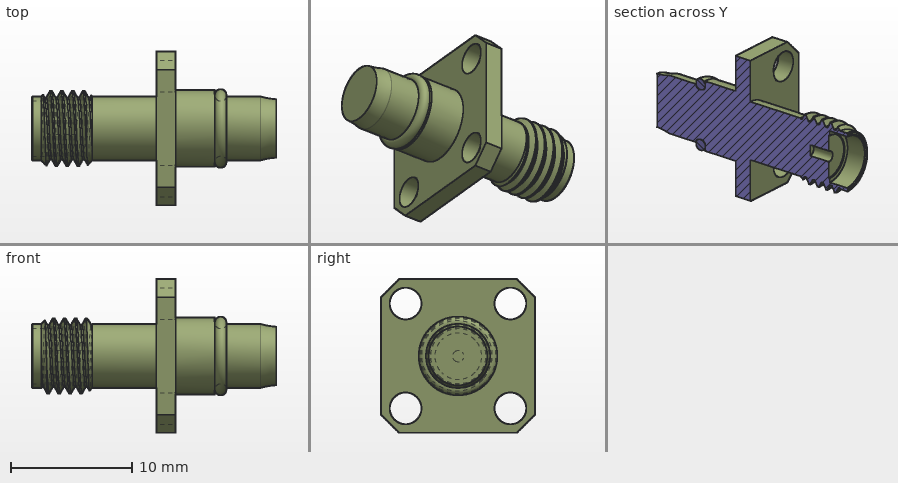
import cadquery as cq
import math

TOTAL_LENGTH = 20.2
BARREL_RADIUS = 2.65

FLANGE_SIDE = 12.7
FLANGE_START = 10.3
FLANGE_THICKNESS = 1.58
FLANGE_END = FLANGE_START + FLANGE_THICKNESS
CORNER_CHAMFER = 1.5
MOUNT_HOLE_DIAMETER = 2.6
MOUNT_HOLE_SPACING = 8.64

BOSS_RADIUS = 3.18
BOSS_END = 15.1
CORD_RADIUS = 0.49
RING_OUTER_RADIUS = 3.25
RING_CENTRE_RADIUS = RING_OUTER_RADIUS - CORD_RADIUS
RING_CENTRE_X = BOSS_END + CORD_RADIUS
TAPER_START = 18.87
TAIL_END_RADIUS = 2.42
TAPER_HOLLOW = 0.04

PITCH = 0.903
CREST_RADIUS = 3.1
ROOT_RADIUS = 2.58
CORE_RADIUS = 2.5
ROOT_WIDTH = 0.16
FLANK_SLOPE = math.tan(math.radians(30))
THREAD_START = 0.8
THREAD_END = 5.0
LEAD_IN = CREST_RADIUS - BARREL_RADIUS
GROOVE_START = 0.02
GROOVE_TURNS = 6
GROOVE_OVERSHOOT = 0.02

LIP_CHAMFER = 0.1
BORE_RADIUS = 2.3
BORE_DEPTH = 1.9
RECESS_RADIUS = 1.92
RECESS_DEPTH = 0.1
SOCKET_RADIUS = 0.465
SOCKET_DEPTH = 2.0


def turned_body():
    """Barrel necked down under the thread, boss and tapered tail as one revolved profile."""
    taper_middle = (
        (TAPER_START + TOTAL_LENGTH) / 2,
        (BARREL_RADIUS + TAIL_END_RADIUS) / 2 - TAPER_HOLLOW,
    )
    return (
        cq.Workplane("XY")
        .moveTo(0, 0)
        .lineTo(0, BARREL_RADIUS - LIP_CHAMFER)
        .lineTo(LIP_CHAMFER, BARREL_RADIUS)
        .lineTo(THREAD_START, BARREL_RADIUS)
        .lineTo(THREAD_START, CORE_RADIUS)
        .lineTo(THREAD_END, CORE_RADIUS)
        .lineTo(THREAD_END, BARREL_RADIUS)
        .lineTo(FLANGE_START, BARREL_RADIUS)
        .lineTo(FLANGE_START, BOSS_RADIUS)
        .lineTo(BOSS_END, BOSS_RADIUS)
        .lineTo(BOSS_END, BARREL_RADIUS)
        .lineTo(TAPER_START, BARREL_RADIUS)
        .threePointArc(taper_middle, (TOTAL_LENGTH, TAIL_END_RADIUS))
        .lineTo(TOTAL_LENGTH, 0)
        .close()
        .revolve(360, (0, 0, 0), (1, 0, 0))
    )


def helix(radius, offset):
    """Right-handed helix about Z, shifted along Z by offset."""
    wire = cq.Wire.makeHelix(PITCH, PITCH * GROOVE_TURNS, radius)
    return wire.translate(cq.Vector(0, 0, offset))


def end_cap(points):
    """Flat face closing one end of the groove."""
    return cq.Face.makeFromWires(cq.Wire.makePolygon(points, close=True))


def thread_groove():
    """Helical V groove with a flat root, running past both ends of the thread."""
    outer_radius = CREST_RADIUS + GROOVE_OVERSHOOT
    root_half = ROOT_WIDTH / 2
    outer_half = root_half + (outer_radius - ROOT_RADIUS) * FLANK_SLOPE
    rails = [
        helix(ROOT_RADIUS, -root_half),
        helix(outer_radius, -outer_half),
        helix(outer_radius, outer_half),
        helix(ROOT_RADIUS, root_half),
    ]
    next_rails = rails[1:] + rails[:1]
    faces = [cq.Face.makeRuledSurface(rail, other) for rail, other in zip(rails, next_rails)]
    faces.append(end_cap([rail.startPoint() for rail in rails]))
    faces.append(end_cap([rail.endPoint() for rail in rails]))
    groove = cq.Workplane(cq.Solid.makeSolid(cq.Shell.makeShell(faces)))
    return groove.rotate((0, 0, 0), (0, 1, 0), 90).translate((GROOVE_START, 0, 0))


def thread_sleeve():
    """Sleeve with 45 degree lead-in cones and the thread groove cut into it."""
    sleeve = (
        cq.Workplane("XZ")
        .polyline([
            (THREAD_START, CORE_RADIUS),
            (THREAD_START, BARREL_RADIUS),
            (THREAD_START + LEAD_IN, CREST_RADIUS),
            (THREAD_END - LEAD_IN, CREST_RADIUS),
            (THREAD_END, BARREL_RADIUS),
            (THREAD_END, CORE_RADIUS),
        ])
        .close()
        .revolve(360, (0, 0, 0), (1, 0, 0))
    )
    return sleeve.cut(thread_groove())


def flange():
    """Square plate with chamfered corners and four mounting holes."""
    return (
        cq.Workplane("YZ")
        .workplane(offset=FLANGE_START)
        .rect(FLANGE_SIDE, FLANGE_SIDE)
        .extrude(FLANGE_THICKNESS)
        .edges("|X")
        .chamfer(CORNER_CHAMFER)
        .faces(">X")
        .workplane(origin=(FLANGE_END, 0, 0))
        .rect(MOUNT_HOLE_SPACING, MOUNT_HOLE_SPACING, forConstruction=True)
        .vertices()
        .hole(MOUNT_HOLE_DIAMETER)
    )


def mouth_cavity():
    """Chamfered bore, shallow floor recess and centre socket as one revolved profile."""
    recess_floor = BORE_DEPTH + RECESS_DEPTH
    socket_floor = recess_floor + SOCKET_DEPTH
    return (
        cq.Workplane("XY")
        .polyline([
            (0, 0),
            (0, BORE_RADIUS + LIP_CHAMFER),
            (LIP_CHAMFER, BORE_RADIUS),
            (BORE_DEPTH, BORE_RADIUS),
            (BORE_DEPTH, RECESS_RADIUS),
            (recess_floor, RECESS_RADIUS),
            (recess_floor, SOCKET_RADIUS),
            (socket_floor, SOCKET_RADIUS),
            (socket_floor, 0),
        ])
        .close()
        .revolve(360, (0, 0, 0), (1, 0, 0))
    )


def make_o_ring():
    """Round-cord ring resting against the boss."""
    return (
        cq.Workplane("XY")
        .center(RING_CENTRE_X, RING_CENTRE_RADIUS)
        .circle(CORD_RADIUS)
        .revolve(360, (0, -RING_CENTRE_RADIUS, 0), (1, -RING_CENTRE_RADIUS, 0))
    )


def make_housing(o_ring):
    """Connector housing with a seat matching the O-ring."""
    return (
        turned_body()
        .union(flange())
        .union(thread_sleeve())
        .cut(mouth_cavity())
        .cut(o_ring)
    )


o_ring = make_o_ring()
housing = make_housing(o_ring)

result = cq.Compound.makeCompound([housing.solids().val(), o_ring.val()])